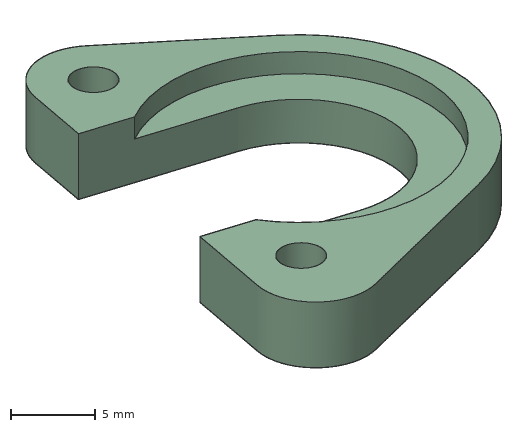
import cadquery as cq
import math

length = 33.7
thickness = 4.5
arch_radius = 12.0
recess_radius = 10.0
recess_depth = 1.5
slot_radius = 7.0
corner_radius = 4.0
hole_diameter = 3.0
hole_offset_x = 12.0
hole_y = -7.0

left_corner_x = -hole_offset_x
right_corner_x = length - 2 * corner_radius - hole_offset_x
bottom_y = hole_y - corner_radius


def polar(center_x, center_y, radius, angle):
    return (center_x + radius * math.cos(angle), center_y + radius * math.sin(angle))


def tangent_angle(corner_x, side):
    """Direction of the radii to the straight flank joining the arch and a corner.

    side is +1 for the right flank and -1 for the left one.
    """
    distance = math.hypot(corner_x, hole_y)
    toward_corner = math.atan2(hole_y, corner_x)
    return toward_corner + side * math.acos((arch_radius - corner_radius) / distance)


def make_body():
    left_angle = tangent_angle(left_corner_x, -1)
    right_angle = tangent_angle(right_corner_x, 1)
    left_middle = (left_angle % (2 * math.pi) + 1.5 * math.pi) / 2
    right_middle = (right_angle - 0.5 * math.pi) / 2
    return (
        cq.Workplane("XY")
        .moveTo(left_corner_x, bottom_y)
        .lineTo(right_corner_x, bottom_y)
        .threePointArc(
            polar(right_corner_x, hole_y, corner_radius, right_middle),
            polar(right_corner_x, hole_y, corner_radius, right_angle),
        )
        .lineTo(*polar(0, 0, arch_radius, right_angle))
        .threePointArc((0, arch_radius), polar(0, 0, arch_radius, left_angle))
        .lineTo(*polar(left_corner_x, hole_y, corner_radius, left_angle))
        .threePointArc(
            polar(left_corner_x, hole_y, corner_radius, left_middle),
            (left_corner_x, bottom_y),
        )
        .close()
        .extrude(thickness)
    )


def make_slot():
    """Round-ended slot, open at the bottom edge."""
    return (
        cq.Workplane("XY")
        .moveTo(-slot_radius, bottom_y)
        .lineTo(slot_radius, bottom_y)
        .lineTo(slot_radius, 0)
        .threePointArc((0, slot_radius), (-slot_radius, 0))
        .close()
        .extrude(thickness)
    )


def make_recess():
    """Shallow round seat in the top face."""
    floor = cq.Workplane("XY").workplane(offset=thickness - recess_depth)
    return floor.circle(recess_radius).extrude(recess_depth)


def make_holes():
    return (
        cq.Workplane("XY")
        .pushPoints([(-hole_offset_x, hole_y), (hole_offset_x, hole_y)])
        .circle(hole_diameter / 2)
        .extrude(thickness)
    )


result = make_body().cut(make_slot()).cut(make_recess()).cut(make_holes())